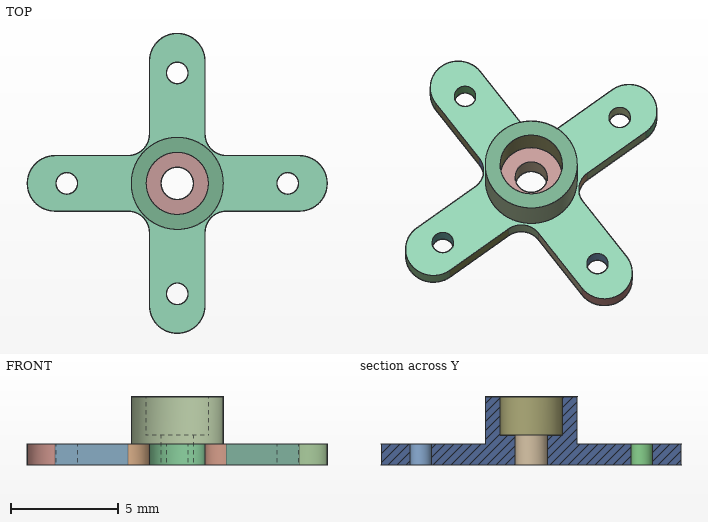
import cadquery as cq

span = 14.0
total_height = 3.2
plate_thickness = 1.0

arm_width = 2.6
inner_corner_radius = 1.0
arm_hole_diameter = 1.0
arm_hole_distance = 5.15

hub_diameter = 4.3
bore_diameter = 2.9
bore_depth = 1.8
shaft_hole_diameter = 1.5


def make_plate():
    """Two crossed round-ended bars with rounded inner corners."""
    bars = (
        cq.Workplane("XY").slot2D(span, arm_width, 0).extrude(plate_thickness)
        .union(cq.Workplane("XY").slot2D(span, arm_width, 90).extrude(plate_thickness))
    )
    near = arm_width
    inner_corners = cq.selectors.BoxSelector((-near, -near, 0), (near, near, plate_thickness))
    return bars.edges("|Z").edges(inner_corners).fillet(inner_corner_radius)


def make_hub():
    """Solid round boss reaching from the plate bottom to full height."""
    return cq.Workplane("XY").circle(hub_diameter / 2).extrude(total_height)


def drill_arms(body):
    """One through hole near the end of each arm."""
    return (
        body.faces("<Z").workplane(origin=(0, 0, 0))
        .polarArray(arm_hole_distance, 0, 360, 4)
        .hole(arm_hole_diameter)
    )


def bore_hub(body):
    """Wide blind bore from the top with a smaller shaft hole through its floor."""
    return (
        body.faces(">Z").workplane(origin=(0, 0, 0))
        .cboreHole(shaft_hole_diameter, bore_diameter, bore_depth)
    )


result = bore_hub(drill_arms(make_plate().union(make_hub())))